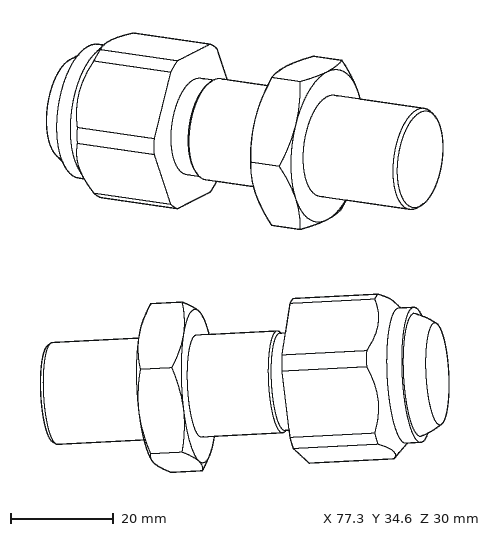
import cadquery as cq
import math

total_length = 77.3
across_flats = 30.0
across_corners = across_flats / math.cos(math.pi / 6)

ball_radius = 12.5
ball_flat_radius = 10.0
ball_center_x = math.sqrt(ball_radius**2 - ball_flat_radius**2)

collar_start = 4.0
collar_end = 7.0
collar_radius = 13.2
head_corner_radius = 16.5
head_end = 27.3
neck_end = 31.1
neck_radius = 9.5
shank_radius = 10.0
shank_start_chamfer_length = 0.5
shank_end_chamfer_length = 0.7

nut_start = 47.8
nut_thickness = 9.0
nut_chamfer_angle = math.radians(30)
nut_face_radius = across_flats / 2


def revolve_profile(points):
    """Revolve a closed outline of (axial position, radius) points about the X axis."""
    return cq.Workplane("XY").polyline(points).close().revolve(360, (0, 0, 0), (1, 0, 0))


def hex_bar(start, length):
    """Hexagonal bar along X with flats at the top and bottom and corners at +Y and -Y."""
    return cq.Workplane("YZ", origin=(start, 0, 0)).polygon(6, across_corners).extrude(length)


def make_ball():
    ball_end = ball_center_x + ball_radius
    half_section = (
        cq.Workplane("XY")
        .lineTo(0, ball_flat_radius)
        .threePointArc((ball_center_x, ball_radius), (ball_end, 0))
        .close()
    )
    return half_section.revolve(360, (0, 0, 0), (1, 0, 0))


def make_head():
    cone_end = collar_end + head_corner_radius - collar_radius
    envelope = revolve_profile([
        (collar_end, 0),
        (collar_end, collar_radius),
        (cone_end, head_corner_radius),
        (head_end, head_corner_radius),
        (head_end, 0),
    ])
    return hex_bar(collar_end, head_end - collar_end).intersect(envelope).solids()


def make_collar():
    return revolve_profile([
        (collar_start, 0),
        (collar_start, collar_radius),
        (collar_end, collar_radius),
        (collar_end, 0),
    ])


def make_shank():
    return revolve_profile([
        (head_end, 0),
        (head_end, neck_radius),
        (neck_end, neck_radius),
        (neck_end + shank_start_chamfer_length, shank_radius),
        (total_length - shank_end_chamfer_length, shank_radius),
        (total_length, neck_radius),
        (total_length, 0),
    ])


def make_housing(ball):
    return make_collar().union(make_head()).union(make_shank()).cut(ball).solids()


def make_nut():
    nut_end = nut_start + nut_thickness
    corner_radius = across_corners / 2
    chamfer_length = (corner_radius - nut_face_radius) * math.tan(nut_chamfer_angle)
    envelope = revolve_profile([
        (nut_start, shank_radius),
        (nut_start, nut_face_radius),
        (nut_start + chamfer_length, corner_radius),
        (nut_end - chamfer_length, corner_radius),
        (nut_end, nut_face_radius),
        (nut_end, shank_radius),
    ])
    return hex_bar(nut_start, nut_thickness).intersect(envelope).solids()


ball = make_ball()
housing = make_housing(ball)
nut = make_nut()

result = cq.Compound.makeCompound([ball.val(), housing.val(), nut.val()])